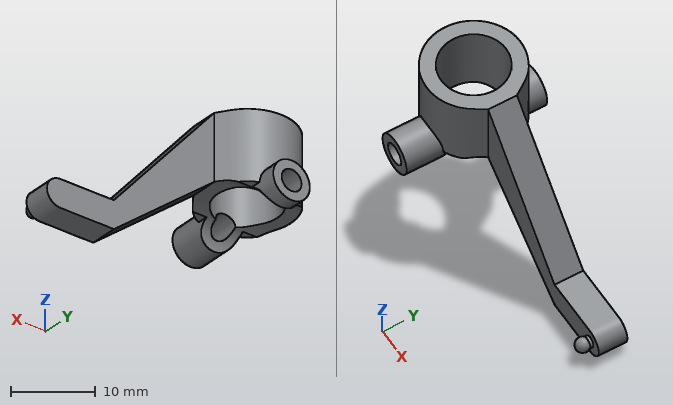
import cadquery as cq
import math

length = 38
height = 21.5

collar_radius = 6.5
collar_bore_radius = 4.5
collar_height = 10.0

tube_radius = 2.75
tube_bore_radius = 1.5
tube_front_reach = 11.0
tube_back_reach = 8.5

relief_top = -9.5
relief_flat_half_width = 2.4
relief_half_width = collar_radius
relief_bottom = -(collar_height + tube_radius)

arm_width = 4.0
arm_tip_radius = arm_width / 2
arm_start = collar_radius
arm_bend = 21.5
tip_x = length - collar_radius - arm_tip_radius
tip_z = arm_tip_radius - height

ball_radius = 1.0
ball_y = -3.0
stud_neck_radius = 0.8


def y_cylinder(radius, y_start, y_end, x, z):
    """Cylinder parallel to Y between two Y positions."""
    return (
        cq.Workplane("XZ", origin=(x, y_end, z))
        .circle(radius)
        .extrude(y_end - y_start)
    )


def make_collar():
    """Outer cylinder blended by tangent flanks into the width of the arm."""
    half_width = arm_width / 2
    corner_distance = math.hypot(arm_start, half_width)
    tangent_angle = math.atan2(half_width, arm_start) + math.acos(collar_radius / corner_distance)
    tangent_x = collar_radius * math.cos(tangent_angle)
    tangent_y = collar_radius * math.sin(tangent_angle)
    return (
        cq.Workplane("XY")
        .moveTo(arm_start, -half_width)
        .lineTo(arm_start, half_width)
        .lineTo(tangent_x, tangent_y)
        .threePointArc((-collar_radius, 0), (tangent_x, -tangent_y))
        .close()
        .extrude(-collar_height)
    )


def make_relief():
    """Flat-topped arch whose rounded shoulders start tangent to the flat."""
    run = relief_half_width - relief_flat_half_width
    drop = relief_top - relief_bottom
    shoulder_radius = (run**2 + drop**2) / (2 * drop)
    half_sweep = math.atan2(drop, run)
    middle_y = relief_flat_half_width + shoulder_radius * math.sin(half_sweep)
    middle_z = relief_top - shoulder_radius * (1 - math.cos(half_sweep))
    return (
        cq.Workplane("YZ")
        .moveTo(-relief_flat_half_width, relief_top)
        .lineTo(relief_flat_half_width, relief_top)
        .threePointArc((middle_y, middle_z), (relief_half_width, relief_bottom))
        .lineTo(-relief_half_width, relief_bottom)
        .threePointArc((-middle_y, middle_z), (-relief_flat_half_width, relief_top))
        .close()
        .extrude(collar_radius, both=True)
    )


def make_arm():
    """Sloping arm that levels out at the bend and ends in a half round."""
    return (
        cq.Workplane("XZ")
        .moveTo(arm_start, 0)
        .lineTo(arm_bend, tip_z + arm_tip_radius)
        .lineTo(tip_x, tip_z + arm_tip_radius)
        .threePointArc((tip_x + arm_tip_radius, tip_z), (tip_x, tip_z - arm_tip_radius))
        .lineTo(arm_bend, tip_z - arm_tip_radius)
        .lineTo(arm_start, relief_top)
        .close()
        .extrude(arm_width / 2, both=True)
    )


def make_ball_stud():
    """Ball on a short neck, rooted inside the arm tip."""
    neck = y_cylinder(stud_neck_radius, ball_y, 0, tip_x, tip_z)
    ball = cq.Workplane("XY", origin=(tip_x, ball_y, tip_z)).sphere(ball_radius)
    return neck.union(ball)


tube_span = (-tube_front_reach, tube_back_reach)
tubes = y_cylinder(tube_radius, *tube_span, 0, -collar_height)
tube_bore = y_cylinder(tube_bore_radius, *tube_span, 0, -collar_height)
collar_bore = cq.Workplane("XY").circle(collar_bore_radius).extrude(relief_bottom)

hub = make_collar().union(tubes)
for opening in (make_relief(), collar_bore, tube_bore):
    hub = hub.cut(opening)

result = hub.union(make_arm()).union(make_ball_stud())